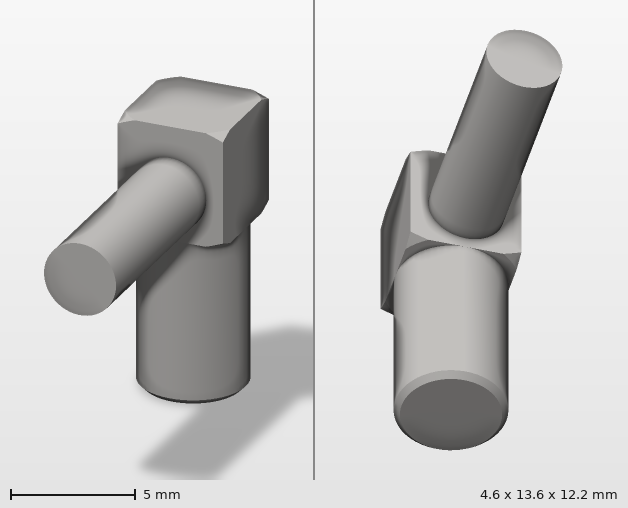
import math

import cadquery as cq

head_width = 4.6
head_height = 5.0
corner_circle_radius = 2.775
corner_cone_angle = 30.0

overall_height = 12.21
stem_diameter = head_width
stem_chamfer = 0.25

arm_diameter = 3.15
arm_length = 9.0
arm_drop = 2.95

stem_length = overall_height - head_height
arm_axis_height = overall_height - arm_drop


def corner_cone_envelope():
    """Round blank with both ends coned, big enough to trim only the head's corners."""
    outer_radius = head_width
    cone_height = (outer_radius - corner_circle_radius) * math.tan(math.radians(corner_cone_angle))
    return (
        cq.Workplane("XZ")
        .moveTo(0, stem_length)
        .lineTo(corner_circle_radius, stem_length)
        .lineTo(outer_radius, stem_length + cone_height)
        .lineTo(outer_radius, overall_height - cone_height)
        .lineTo(corner_circle_radius, overall_height)
        .lineTo(0, overall_height)
        .close()
        .revolve(360, (0, 0, 0), (0, 1, 0))
    )


def make_head():
    """Square block with its eight corners trimmed by the cones."""
    block = (
        cq.Workplane("XY")
        .workplane(offset=stem_length)
        .rect(head_width, head_width)
        .extrude(head_height)
    )
    return block.intersect(corner_cone_envelope())


def make_stem():
    """Vertical post with a chamfered lower end."""
    return (
        cq.Workplane("XY")
        .circle(stem_diameter / 2)
        .extrude(stem_length)
        .faces("<Z")
        .chamfer(stem_chamfer)
    )


def make_arm():
    """Horizontal bar running from the head's -Y face toward -Y."""
    return (
        cq.Workplane("XZ", origin=(0, -head_width / 2, arm_axis_height))
        .circle(arm_diameter / 2)
        .extrude(arm_length)
    )


result = make_head().union(make_stem()).union(make_arm())